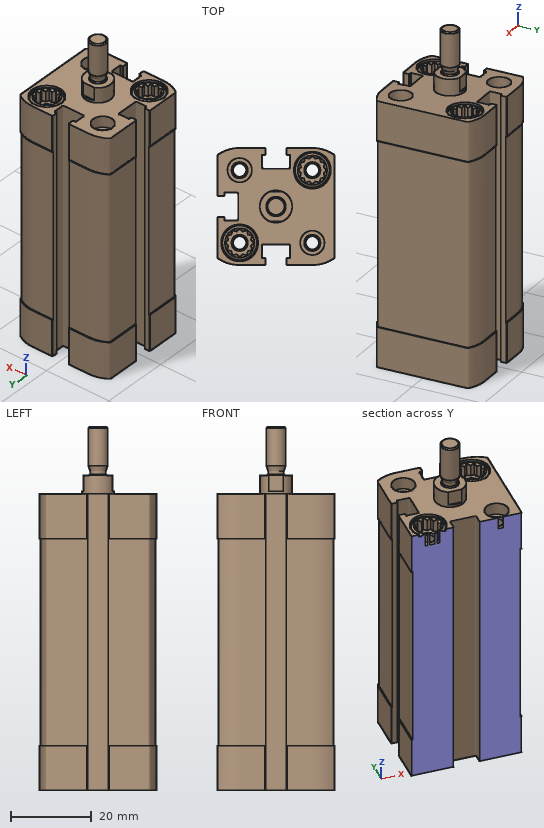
import cadquery as cq
import math

cap_width = 29.0
cap_half = cap_width / 2
cap_inset = 0.3
body_height = 73.2
cap_height = 11.05
hole_offset = 9.0
corner_radius = 9.4
corner_blend = 0.7

slot_mouth = 5.1
slot_width = 6.8
slot_depth = 5.1
slot_lip = 1.8
slot_lip_bevel = 0.2
slot_floor_round = 0.3

bore_diameter = 3.2
bore_mouth_diameter = 4.0
counterbore_diameter = 6.0
counterbore_depth = 3.3

recess_diameter = 9.2
crest_foot_diameter = 8.5
crest_diameter = 7.3
recess_depth = 0.6
crest_depth = 0.1
socket_lead_diameter = 5.75
socket_lead_depth = 0.7
socket_tip_radius = 3.55
socket_depth = 3.8
squares_per_socket = 3
square_turn = 90 / squares_per_socket

total_height = 89.8
collar_diameter = 8.0
collar_height = 4.6
flat_width = 7.2
flat_height = 3.9
thread_diameter = 4.85
thread_chamfer = 0.4
neck_diameter = 3.95
neck_height = 2.4
neck_taper_start = 1.1
neck_foot_diameter = 4.5
neck_foot_height = 0.4


def block(inset, height):
    """Rounded square prism, set in from the cap outline on every side."""
    half = cap_half - inset
    radius = corner_radius - inset
    arc_center = half - radius
    end_angle = math.acos((half - hole_offset) / radius)
    mid_angle = (end_angle + math.pi / 2) / 2
    side_end = arc_center + radius * math.sin(end_angle)
    mid_x = hole_offset + radius * math.cos(mid_angle)
    mid_y = arc_center + radius * math.sin(mid_angle)
    prism = (
        cq.Workplane("XY")
        .moveTo(half, 0)
        .lineTo(half, side_end)
        .threePointArc((mid_x, mid_y), (hole_offset, half))
        .lineTo(-hole_offset, half)
        .threePointArc((-mid_x, mid_y), (-half, side_end))
        .lineTo(-half, 0)
        .mirrorX()
        .extrude(height)
    )
    for x in (-half, half):
        for y in (-side_end, side_end):
            corner_edge = cq.selectors.NearestToPointSelector((x, y, height / 2))
            prism = prism.edges("|Z").edges(corner_edge).fillet(corner_blend)
    return prism


def slot():
    """T-slot cutter along the +Y face; the mouth bevels lie outside the tube surface."""
    mouth = slot_mouth / 2
    wide = slot_width / 2
    lip = cap_half - slot_lip
    floor = cap_half - slot_depth
    right_side = [
        (mouth + slot_lip_bevel, cap_half),
        (mouth, cap_half - slot_lip_bevel),
        (mouth, lip + slot_lip_bevel),
        (mouth + slot_lip_bevel, lip),
        (wide, lip),
        (wide, floor),
    ]
    left_side = [(-x, y) for x, y in reversed(right_side)]
    cutter = cq.Workplane("XY").polyline(right_side + left_side).close().extrude(body_height)
    return cutter.faces("<Y").edges("|Z").fillet(slot_floor_round)


def hole_cutter(floor_depth):
    """Through bore with a countersunk mouth at the floor of a recess."""
    bore_radius = bore_diameter / 2
    mouth_radius = bore_mouth_diameter / 2
    floor = body_height - floor_depth
    profile = [
        (0, 0),
        (bore_radius, 0),
        (bore_radius, floor - (mouth_radius - bore_radius)),
        (mouth_radius, floor),
        (0, floor),
    ]
    return cq.Workplane("XZ").polyline(profile).close().revolve(360, (0, 0), (0, 1))


def counterbored_hole():
    counterbore = (
        cq.Workplane("XY", origin=(0, 0, body_height - counterbore_depth))
        .circle(counterbore_diameter / 2)
        .extrude(counterbore_depth)
    )
    return hole_cutter(counterbore_depth).union(counterbore)


def socket_hole():
    """Ring recess with a raised crest around a twelve-point socket."""
    profile = [
        (0, body_height),
        (recess_diameter / 2, body_height),
        (recess_diameter / 2, body_height - recess_depth),
        (crest_foot_diameter / 2, body_height - recess_depth),
        (crest_diameter / 2, body_height - crest_depth),
        (socket_lead_diameter / 2, body_height - socket_lead_depth),
        (0, body_height - socket_lead_depth),
    ]
    cutter = cq.Workplane("XZ").polyline(profile).close().revolve(360, (0, 0), (0, 1))
    square = (
        cq.Workplane("XY", origin=(0, 0, body_height - socket_depth))
        .polygon(4, 2 * socket_tip_radius)
        .extrude(socket_depth - crest_depth)
    )
    for i in range(squares_per_socket):
        cutter = cutter.union(square.rotate((0, 0, 0), (0, 0, 1), i * square_turn))
    return cutter.union(hole_cutter(socket_depth))


def make_housing():
    cap = block(0, cap_height)
    top_cap = cap.translate((0, 0, body_height - cap_height))
    body = block(cap_inset, body_height).union(cap).union(top_cap)
    for angle in (0, 90, 180):
        body = body.cut(slot().rotate((0, 0, 0), (0, 0, 1), angle))
    for side in (-1, 1):
        body = body.cut(socket_hole().translate((side * hole_offset, side * hole_offset, 0)))
        body = body.cut(counterbored_hole().translate((side * hole_offset, -side * hole_offset, 0)))
    return body


def make_rod():
    """Piston rod standing on the top face: flatted collar, neck and threaded end."""
    collar_top = body_height + collar_height
    collar_radius = collar_diameter / 2
    thread_radius = thread_diameter / 2
    neck_radius = neck_diameter / 2
    profile = (
        cq.Workplane("XZ")
        .moveTo(0, body_height)
        .lineTo(collar_radius, body_height)
        .lineTo(collar_radius, collar_top)
        .lineTo(neck_foot_diameter / 2, collar_top)
        .lineTo(neck_radius, collar_top + neck_foot_height)
        .lineTo(neck_radius, collar_top + neck_taper_start)
        .lineTo(thread_radius, collar_top + neck_height)
        .lineTo(thread_radius, total_height - thread_chamfer)
        .lineTo(thread_radius - thread_chamfer, total_height)
        .lineTo(0, total_height)
        .close()
    )
    rod = profile.revolve(360, (0, 0), (0, 1))
    for side in (-1, 1):
        flat_cut = (
            cq.Workplane("XY", origin=(0, side * (flat_width + collar_diameter) / 2, collar_top - flat_height))
            .rect(collar_diameter, collar_diameter)
            .extrude(flat_height)
        )
        rod = rod.cut(flat_cut)
    return rod


housing = make_housing()
rod = make_rod()
result = cq.Compound.makeCompound([housing.val(), rod.val()])